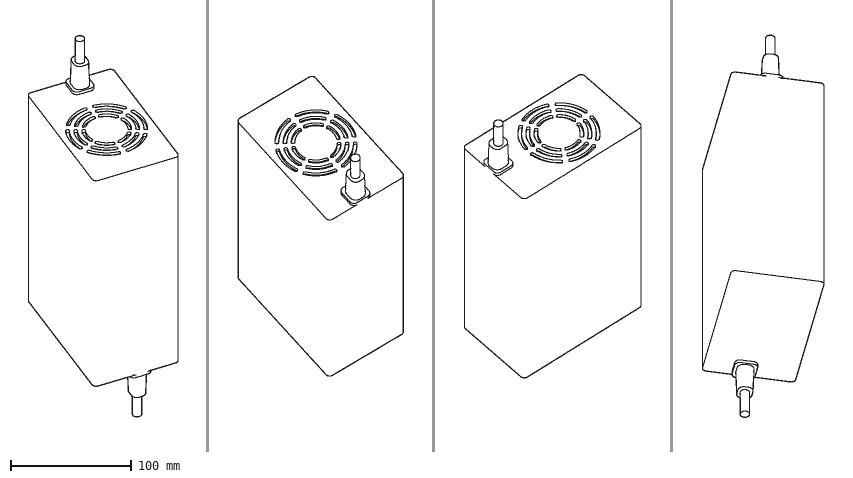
import cadquery as cq
import math

TOTAL_HEIGHT = 320.0
BODY_WIDTH = 130.0
BODY_DEPTH = 79.0
BODY_HEIGHT = 219.0
BODY_CORNER_RADIUS = 4.0

FLANGE_SIDE = 19.5
FLANGE_CORNER_RADIUS = 4.0
FLANGE_THICKNESS = 3.0
SLEEVE_WIDTH = 16.3
SLEEVE_DEPTH = 14.5
SLEEVE_CORNER_RADIUS = 5.8
SLEEVE_LENGTH = 24.0
SLEEVE_DRAFT_ANGLE = 1.8
CABLE_DIAMETER = 8.0
GLAND_LENGTH = (TOTAL_HEIGHT - BODY_HEIGHT) / 2
GLAND_X = (BODY_WIDTH - FLANGE_SIDE) / 2
GLAND_Y = 4.8

GRILLE_X = 6.7
RING_COUNT = 3
INNER_RING_RADIUS = 19.2
RING_PITCH = 6.7
SLOT_WIDTH = 3.0
SLOT_DEPTH = 3.0
SLOTS_PER_RING = 6
SLOT_GAP_ANGLE = 9.5


def rounded_block(width, depth, height, corner_radius):
    """Block standing on the XY plane with rounded upright edges."""
    return cq.Workplane("XY").rect(width, depth).extrude(height).edges("|Z").fillet(corner_radius)


def make_body():
    block = rounded_block(BODY_WIDTH, BODY_DEPTH, BODY_HEIGHT, BODY_CORNER_RADIUS)
    return block.translate((0, 0, -BODY_HEIGHT / 2))


def make_gland():
    """Gland pointing up, with the underside of its flange on the XY plane."""
    flange = rounded_block(FLANGE_SIDE, FLANGE_SIDE, FLANGE_THICKNESS, FLANGE_CORNER_RADIUS)
    sleeve_outline = cq.Sketch().rect(SLEEVE_WIDTH, SLEEVE_DEPTH).vertices().fillet(SLEEVE_CORNER_RADIUS)
    sleeve = (
        cq.Workplane("XY", origin=(0, 0, FLANGE_THICKNESS))
        .placeSketch(sleeve_outline)
        .extrude(SLEEVE_LENGTH, taper=SLEEVE_DRAFT_ANGLE)
    )
    cable = cq.Workplane("XY").circle(CABLE_DIAMETER / 2).extrude(GLAND_LENGTH)
    return flange.union(sleeve).union(cable)


def make_slot(radius):
    """Round-ended curved slot, centred on the +X axis and sunk below the XY plane."""
    end_cap_angle = math.asin(SLOT_WIDTH / 2 / radius)
    half_angle = math.radians(360 / SLOTS_PER_RING - SLOT_GAP_ANGLE) / 2 - end_cap_angle
    inner = radius - SLOT_WIDTH / 2
    outer = radius + SLOT_WIDTH / 2

    def at(distance, angle):
        return (distance * math.cos(angle), distance * math.sin(angle))

    def cap_tip(side):
        """Outermost point of the round end; side is +1 or -1."""
        x, y = at(radius, side * half_angle)
        reach = SLOT_WIDTH / 2
        return (x - reach * math.sin(side * half_angle), y + side * reach * math.cos(half_angle))

    return (
        cq.Workplane("XY")
        .moveTo(*at(outer, -half_angle))
        .threePointArc((outer, 0), at(outer, half_angle))
        .threePointArc(cap_tip(1), at(inner, half_angle))
        .threePointArc((inner, 0), at(inner, -half_angle))
        .threePointArc(cap_tip(-1), at(outer, -half_angle))
        .close()
        .extrude(-SLOT_DEPTH)
    )


def cut_grille(body):
    slot_spacing = 360 / SLOTS_PER_RING
    for ring in range(RING_COUNT):
        slot = make_slot(INNER_RING_RADIUS + ring * RING_PITCH)
        for index in range(SLOTS_PER_RING):
            angle = (index + 0.5) * slot_spacing
            turned = slot.rotate((0, 0, 0), (0, 0, 1), angle)
            body = body.cut(turned.translate((GRILLE_X, 0, BODY_HEIGHT / 2)))
    return body


body = cut_grille(make_body())
gland = make_gland()

top_gland = gland.translate((-GLAND_X, GLAND_Y, BODY_HEIGHT / 2))
bottom_gland = gland.mirror("XY").translate((GLAND_X, GLAND_Y, -BODY_HEIGHT / 2))
result = body.union(top_gland).union(bottom_gland)